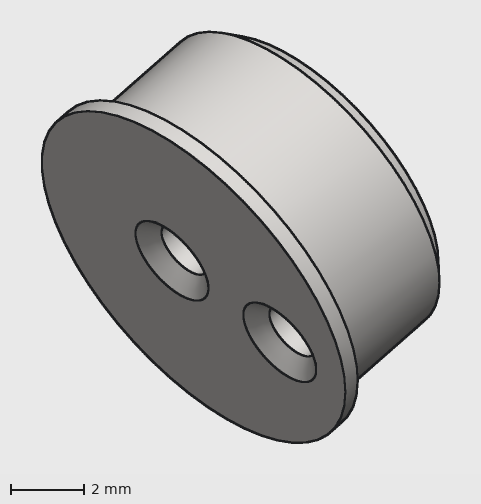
import cadquery as cq

flange_diameter = 11.27
body_diameter = 10.09
total_depth = 4.9
flange_thickness = 0.5
edge_chamfer = 0.5

hole_diameter = 1.7
countersink_diameter = 2.7
countersink_angle = 90.0
first_hole_x = -0.8
hole_spacing = 4.0
hole_positions = [(first_hole_x, 0), (first_hole_x + hole_spacing, 0)]


def cylinder_along_y(diameter, length):
    """Solid cylinder from Y = 0 towards +Y."""
    return cq.Workplane("XZ").circle(diameter / 2).extrude(-length)


flange = cylinder_along_y(flange_diameter, flange_thickness)
body = cylinder_along_y(body_diameter, total_depth).faces(">Y").chamfer(edge_chamfer)
plug = flange.union(body)

result = (
    plug.faces("<Y")
    .workplane(origin=(0, 0, 0))
    .pushPoints(hole_positions)
    .cskHole(hole_diameter, countersink_diameter, countersink_angle)
)